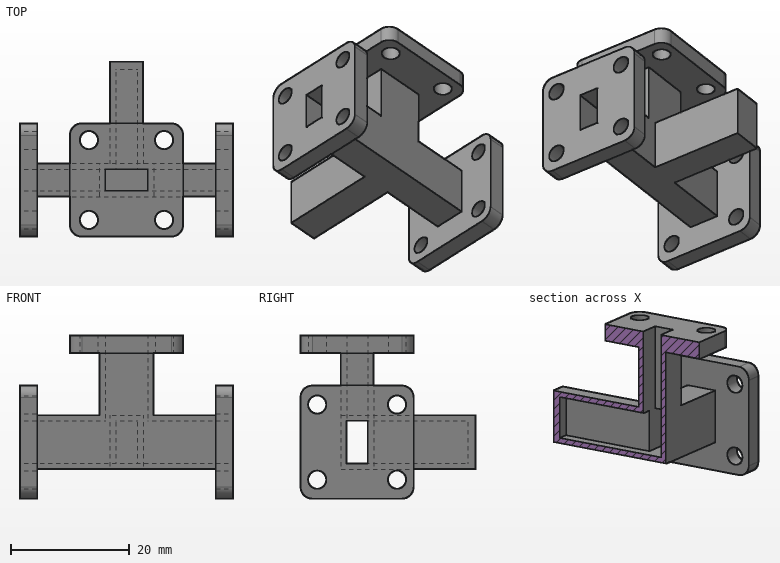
import cadquery as cq

port_reach = 18.0
flange_side = 19.1
flange_thickness = 3.0
flange_corner_radius = 2.0
bolt_hole_diameter = 3.02
bolt_spacing_broad = 12.67
bolt_spacing_narrow = 13.45

bore_broad = 7.13
bore_narrow = 3.55
wall = 1.0
tube_broad = bore_broad + 2 * wall
tube_narrow = bore_narrow + 2 * wall

rear_reach = 19.98
rear_cap_thickness = 1.35


def flange(port_plane):
    """Rounded, drilled flange; the plane's local X is the broad direction."""
    plate = (
        cq.Workplane(port_plane)
        .rect(flange_side, flange_side)
        .extrude(-flange_thickness)
        .edges(cq.ParallelDirSelector(port_plane.zDir))
        .fillet(flange_corner_radius)
    )
    holes = (
        cq.Workplane(port_plane)
        .rect(bolt_spacing_broad, bolt_spacing_narrow, forConstruction=True)
        .vertices()
        .circle(bolt_hole_diameter / 2)
        .extrude(-flange_thickness)
    )
    return plate.cut(holes)


def bar(plane, broad, narrow, length):
    """Rectangular bar running inward from a plane."""
    return cq.Workplane(plane).rect(broad, narrow).extrude(-length)


left_port = cq.Plane(origin=(-port_reach, 0, 0), xDir=(0, 0, 1), normal=(-1, 0, 0))
right_port = cq.Plane(origin=(port_reach, 0, 0), xDir=(0, 0, 1), normal=(1, 0, 0))
top_port = cq.Plane(origin=(0, 0, port_reach), xDir=(1, 0, 0), normal=(0, 0, 1))
rear_end = cq.Plane(origin=(0, rear_reach, 0), xDir=(0, 0, 1), normal=(0, 1, 0))
rear_bore_end = cq.Plane(
    origin=(0, rear_reach - rear_cap_thickness, 0), xDir=(0, 0, 1), normal=(0, 1, 0)
)

body = bar(left_port, tube_broad, tube_narrow, 2 * port_reach)
body = body.union(bar(top_port, tube_broad, tube_narrow, port_reach))
body = body.union(bar(rear_end, tube_broad, tube_narrow, rear_reach))

for port in (left_port, right_port, top_port):
    body = body.union(flange(port))

body = body.cut(bar(left_port, bore_broad, bore_narrow, 2 * port_reach))
body = body.cut(bar(top_port, bore_broad, bore_narrow, port_reach))
body = body.cut(bar(rear_bore_end, bore_broad, bore_narrow, rear_reach - rear_cap_thickness))

result = body